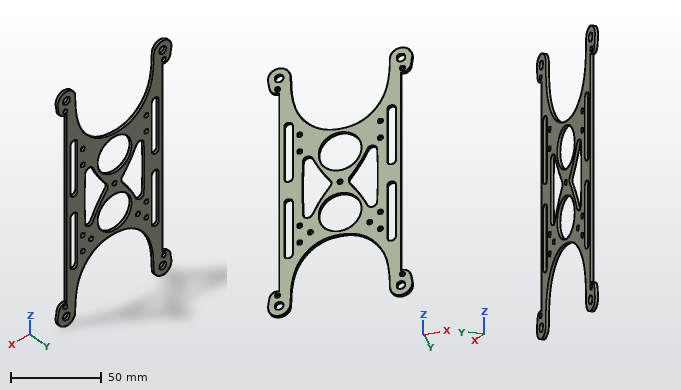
import cadquery as cq
import math

height = 163.0
width = 84.0
thickness = 2.0

ear_radius = 6.5
ear_x = width / 2 - ear_radius
ear_z = height / 2 - ear_radius
ear_hole_diameter = 5.0
lobe_radius = 4.9
lobe_x = 36.3
lobe_z = 70.1

arch_half_width = ear_x - ear_radius
arch_crown_z = 34.9
arch_shoulder = (20.2, 43.7)

opening_diameter = 25.0
opening_z = 20.0
slot_x = 30.0
slot_width = 5.0
slot_inner_z = 5.7
slot_outer_z = 44.7

small_hole_diameter = 3.0
lobe_hole_z = 68.0
mount_hole_x = 23.5
mount_hole_levels = (24.5, 35.5)
extra_hole_x = 17.3
extra_hole_z = -30.0

window_outer_x = 22.0
window_outer_end = (21.5, 18.0)
window_tip = (18.6, 20.2)
window_inner_end = (16.1, 18.7)
window_inner_middle = (11.2, 9.8)
window_nose_end = (5.4, 1.5)
window_nose_x = 5.0

SIDES = (-1, 1)
CORNERS = [(sx, sz) for sx in SIDES for sz in SIDES]


def back_face():
    """Sketch plane on the +Y face; its normal points to -Y."""
    return cq.Workplane("XZ", origin=(0, thickness / 2, 0))


def extrude(sketch):
    """Give a closed XZ outline the plate thickness."""
    return sketch.extrude(thickness)


def mirrored(point, sx, sz):
    return (sx * point[0], sz * point[1])


def ear(sx, sz):
    """Two discs joined by the tangent line along their outer side."""
    dx = lobe_x - ear_x
    dz = lobe_z - ear_z
    tangent_angle = math.atan2(dz, dx) + math.acos((ear_radius - lobe_radius) / math.hypot(dx, dz))
    normal = (math.cos(tangent_angle), math.sin(tangent_angle))
    web = [
        (ear_x, ear_z),
        (ear_x + ear_radius * normal[0], ear_z + ear_radius * normal[1]),
        (lobe_x + lobe_radius * normal[0], lobe_z + lobe_radius * normal[1]),
        (lobe_x, lobe_z),
    ]
    web_points = [mirrored(point, sx, sz) for point in web]
    big_disc = extrude(back_face().center(sx * ear_x, sz * ear_z).circle(ear_radius))
    lobe_disc = extrude(back_face().center(sx * lobe_x, sz * lobe_z).circle(lobe_radius))
    inner_trim = extrude(back_face().center(0, sz * lobe_z).rect(2 * ear_x, 2 * lobe_radius))
    lobe_disc = lobe_disc.cut(inner_trim)
    return big_disc.union(lobe_disc).union(extrude(back_face().polyline(web_points).close()))


def arch(sz):
    """Cutout with upright flanks at the ears and a level crown."""
    shoulder_x, shoulder_z = arch_shoulder
    crown = (0, sz * arch_crown_z)
    left_curve = [(-shoulder_x, sz * shoulder_z), crown]
    right_curve = [(shoulder_x, sz * shoulder_z), (arch_half_width, sz * ear_z)]
    outline = (
        back_face()
        .moveTo(-arch_half_width, sz * ear_z)
        .spline(left_curve, tangents=[(0, -sz), (1, 0)], includeCurrent=True)
        .spline(right_curve, tangents=[(1, 0), (0, sz)], includeCurrent=True)
        .close()
    )
    return extrude(outline)


def window(sx):
    def place(point, sz=1):
        return mirrored(point, sx, sz)

    outline = (
        back_face()
        .moveTo(*place(window_outer_end, -1))
        .threePointArc((sx * window_outer_x, 0), place(window_outer_end))
        .threePointArc(place(window_tip), place(window_inner_end))
        .threePointArc(place(window_inner_middle), place(window_nose_end))
        .threePointArc((sx * window_nose_x, 0), place(window_nose_end, -1))
        .threePointArc(place(window_inner_middle, -1), place(window_inner_end, -1))
        .threePointArc(place(window_tip, -1), place(window_outer_end, -1))
        .close()
    )
    return extrude(outline)


def round_holes(points, diameter):
    return extrude(back_face().pushPoints(points).circle(diameter / 2))


def side_slots():
    middle_z = (slot_inner_z + slot_outer_z) / 2
    points = [mirrored((slot_x, middle_z), sx, sz) for sx, sz in CORNERS]
    length = slot_outer_z - slot_inner_z
    return extrude(back_face().pushPoints(points).slot2D(length, slot_width, 90))


result = extrude(back_face().rect(2 * ear_x, 2 * ear_z))
for sz in SIDES:
    result = result.cut(arch(sz))
for sx, sz in CORNERS:
    result = result.union(ear(sx, sz))

for sx in SIDES:
    result = result.cut(window(sx))
result = result.cut(side_slots())
result = result.cut(round_holes([(0, sz * opening_z) for sz in SIDES], opening_diameter))

ear_holes = [mirrored((ear_x, ear_z), sx, sz) for sx, sz in CORNERS]
result = result.cut(round_holes(ear_holes, ear_hole_diameter))

small_holes = [(0, 0)]
small_holes += [(sx * extra_hole_x, extra_hole_z) for sx in SIDES]
for sx, sz in CORNERS:
    small_holes.append((sx * lobe_x, sz * lobe_hole_z))
    small_holes += [(sx * mount_hole_x, sz * level) for level in mount_hole_levels]
result = result.cut(round_holes(small_holes, small_hole_diameter))